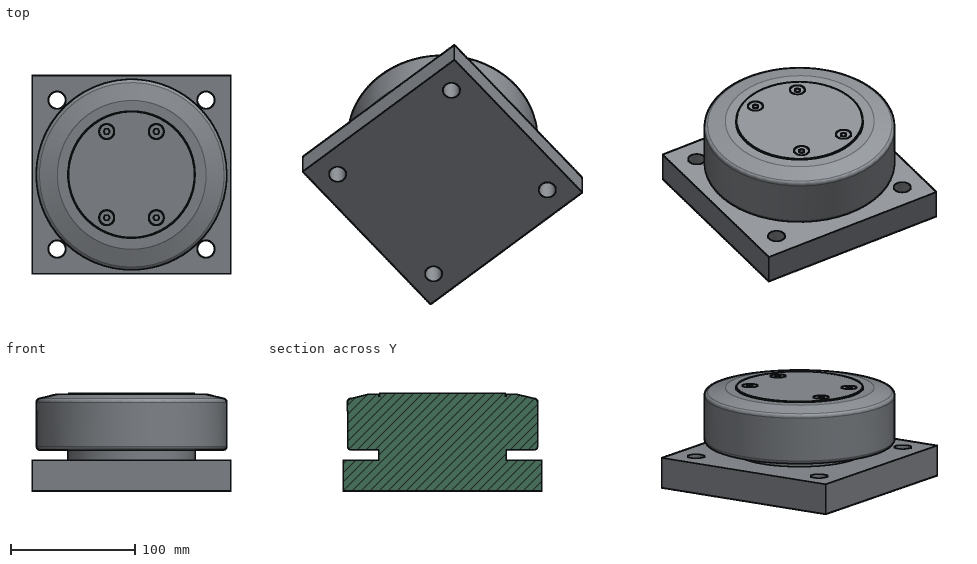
import cadquery as cq

plate_side = 160.0
plate_thickness = 25.0
mount_hole_dia = 13.8
mount_hole_pitch = 120.0

neck_dia = 103.0
pad_bottom = 33.0
pad_top = 78.2
pad_dia = 153.6
pad_flat_dia = 120.0
shoulder_base = 74.0
rim_fillet = 3.2

overall_height = 79.0
cover_dia = 101.5
cover_recess_dia = 102.5
recess_depth = 1.6

screw_spacing_x = 40.0
screw_spacing_y = 69.5
counterbore_dia = 12.5
counterbore_depth = 7.2
head_dia = 11.7
head_sink = 0.2
socket_across_corners = 5.0
socket_depth = 0.6


def disc(diameter, bottom, top):
    """Upright cylinder on the part axis between two heights."""
    return cq.Workplane("XY").workplane(offset=bottom).circle(diameter / 2).extrude(top - bottom)


def make_plate():
    return (
        cq.Workplane("XY")
        .rect(plate_side, plate_side)
        .extrude(plate_thickness)
        .faces(">Z")
        .workplane()
        .rect(mount_hole_pitch, mount_hole_pitch, forConstruction=True)
        .vertices()
        .hole(mount_hole_dia)
    )


def make_pad():
    """Revolved pad: straight rim, conical shoulder and two rounded rim edges."""
    rim_radius = pad_dia / 2
    profile = (
        cq.Workplane("XZ")
        .moveTo(0, pad_bottom)
        .lineTo(rim_radius, pad_bottom)
        .lineTo(rim_radius, shoulder_base)
        .lineTo(pad_flat_dia / 2, pad_top)
        .lineTo(0, pad_top)
        .close()
    )
    pad = profile.revolve(360, (0, 0, 0), (0, 1, 0))
    rim_edges = cq.selectors.RadiusNthSelector(-1)
    return pad.edges("%CIRCLE").edges(rim_edges).fillet(rim_fillet)


def screw_points(top):
    """Workplane at a height with the four screw positions on its stack."""
    return (
        cq.Workplane("XY")
        .workplane(offset=top)
        .rect(screw_spacing_x, screw_spacing_y, forConstruction=True)
        .vertices()
    )


recess_floor = pad_top - recess_depth
pad = make_pad().cut(disc(cover_recess_dia, recess_floor, pad_top))
body = make_plate().union(disc(neck_dia, plate_thickness, pad_bottom)).union(pad)
body = body.union(disc(cover_dia, recess_floor, overall_height))

head_top = overall_height - head_sink
counterbores = screw_points(overall_height).circle(counterbore_dia / 2).extrude(-counterbore_depth)
heads = screw_points(head_top).circle(head_dia / 2).extrude(head_sink - counterbore_depth)
sockets = screw_points(head_top).polygon(6, socket_across_corners).extrude(-socket_depth)
result = body.cut(counterbores).union(heads).cut(sockets)